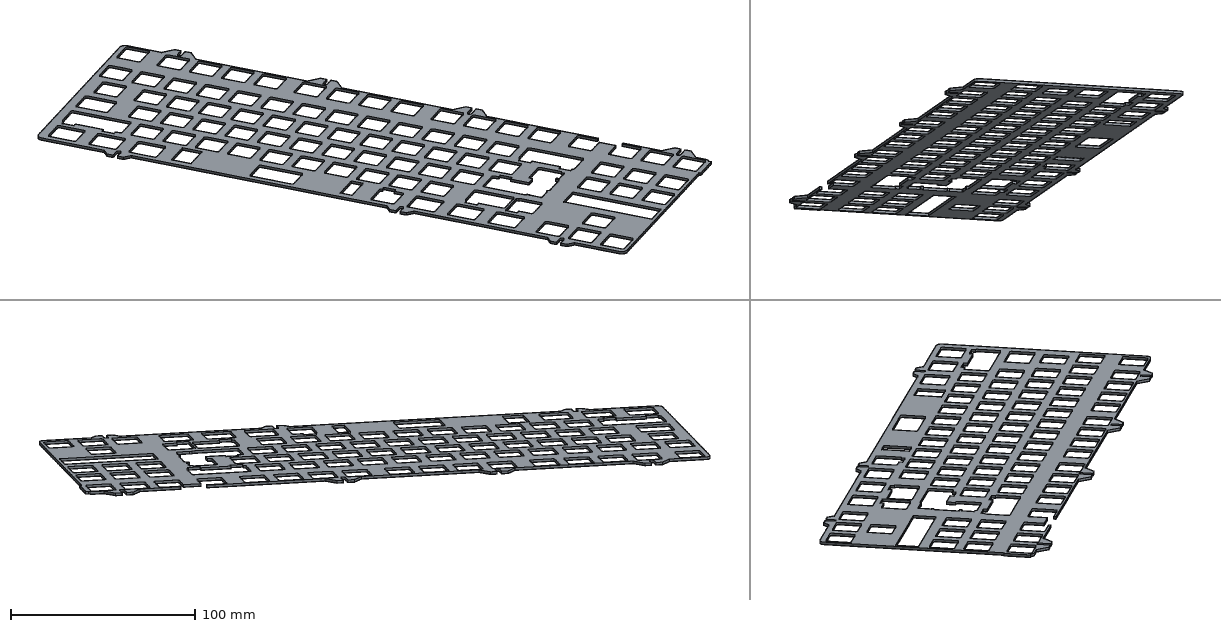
import cadquery as cq
import math

plate_length = 348.5
plate_width = 128.0
thickness = 1.5
bump_reach = 1.0
body_length = plate_length - bump_reach
top_tab_height = 6.0
bottom_tab_height = 3.5
corner_radius = 3.0

left_edge = -plate_length / 2
right_edge = left_edge + body_length
top_edge = plate_width / 2 - top_tab_height
bottom_edge = -plate_width / 2 + bottom_tab_height

key_unit = body_length / 18.25
grid_start = left_edge + 0.5
key_hole = 14.0
key_hole_radius = 1.0
bottom_row = -50.2
shift_row = bottom_row + key_unit
home_row = bottom_row + 2 * key_unit
tab_row = bottom_row + 3 * key_unit
number_row = bottom_row + 4 * key_unit
function_row = bottom_row + 5.25 * key_unit

side_columns = [15.75, 16.75, 17.75]
enter_column = 14.375
single_keys = [
    (function_row, [0.5, 1.75, 2.75, 3.75, 4.75, 6, 7, 8, 9]),
    (function_row, [10.25, 11.25, 12.25, 13.25, 14.5] + side_columns),
    (number_row, [0.5 + step for step in range(13)] + side_columns),
    (tab_row, [0.75] + [2 + step for step in range(12)] + [14.25] + side_columns),
    (home_row, [2.25 + step for step in range(11)]),
    (shift_row, [2.75 + step for step in range(10)] + [14.5, 16.75]),
    (bottom_row, [10.625] + side_columns),
]

stretched_keys = [
    (number_row, 13.5, 14.5),
    (home_row, 0.625, 0.875),
    (home_row, 13.25, 13.875),
    (shift_row, 0.625, 1.75),
    (shift_row, 13.125, 13.625),
    (bottom_row, 0.625, 0.75),
    (bottom_row, 1.875, 2),
    (bottom_row, 3.125, 3.25),
    (bottom_row, 6.875, 7.5),
    (bottom_row, 11.75, 11.875),
    (bottom_row, 13, 13.125),
    (bottom_row, 14.25, enter_column),
]

slot_width = 7.0
slot_overhang = 2.0
slot_inset = 0.7
short_reach = 12.0
space_reach = 50.0
long_space_reach = 57.2
stabilized_keys = [
    (number_row, 14, short_reach, -1),
    (home_row, 13.875, short_reach, 1),
    (shift_row, 1.125, short_reach, -1),
    (shift_row, 13.625, short_reach, -1),
    (bottom_row, 6.875, space_reach, 1),
    (bottom_row, 7.5, long_space_reach, 1),
]

badge_height = 12.5

cable_width = 14.5
cable_depth = 4.2
cable_column = 15.125

tab_slot_width = 2.5
top_tab_base = 20.2
top_tab_tip = 9.8
top_slot_depth = 7.3
shallow_slot_depth = 6.0
top_tabs = [
    (-141.0, shallow_slot_depth),
    (-54.7, shallow_slot_depth),
    (31.0, top_slot_depth),
    (154.5, top_slot_depth),
]
bottom_tab_base = 16.0
bottom_tab_tip = 9.8
bottom_slot_depth = 6.0
bottom_tabs = [-126.2, 40.8, 135.5]

bump_length = 14.5
bump_top_gap = 1.5


def key_x(column):
    """X of a place given in key units from the start of the grid."""
    return grid_start + column * key_unit


def block(x_min, x_max, y_min, y_max):
    """Full-thickness block between the given limits."""
    corner = (x_min, y_min, -thickness / 2)
    size = (x_max - x_min, y_max - y_min, thickness)
    return cq.Workplane("XY").box(*size, centered=False).translate(corner)


def key_cut(row, first, last):
    """Hole for one key, stretched from its first to its last centre."""
    half = key_hole / 2
    hole = block(key_x(first) - half, key_x(last) + half, row - half, row + half)
    return hole.edges("|Z").fillet(key_hole_radius)


def stabilizer_cuts(row, column, reach, side):
    """Pair of slots, shifted along Y against the key hole."""
    outer = row + side * (key_hole / 2 + slot_overhang)
    inner = row - side * (key_hole / 2 - slot_inset)
    half = slot_width / 2
    centres = [key_x(column) - reach, key_x(column) + reach]
    return [block(x - half, x + half, min(outer, inner), max(outer, inner)) for x in centres]


def tall_enter_cuts():
    """Hole midway between two rows, with slots above and below it that overhang to -X."""
    row = (home_row + tab_row) / 2
    x_min = key_x(enter_column) - key_hole / 2 - slot_overhang
    x_max = key_x(enter_column) + key_hole / 2 - slot_inset
    half = slot_width / 2
    centres = [row - short_reach, row + short_reach]
    slots = [block(x_min, x_max, y - half, y + half) for y in centres]
    passage = block(key_x(enter_column) - key_hole / 2, key_x(enter_column), row - short_reach, row)
    return [key_cut(row, enter_column, enter_column), passage] + slots


def badge_cut():
    """Wide window below the side columns."""
    x_min = key_x(side_columns[0]) - key_hole / 2
    x_max = key_x(side_columns[-1]) + key_hole / 2
    return block(x_min, x_max, home_row - badge_height / 2, home_row + badge_height / 2)


def cable_cut():
    """Opening in the top edge between two function keys."""
    x = key_x(cable_column)
    return block(x - cable_width / 2, x + cable_width / 2, top_edge - cable_depth, top_edge)


def tab(x, edge, tip_y, base, tip):
    """Tapered tab standing out from a long edge."""
    outline = [
        (x - base / 2, edge),
        (x - tip / 2, tip_y),
        (x + tip / 2, tip_y),
        (x + base / 2, edge),
    ]
    solid = cq.Workplane("XY").polyline(outline).close().extrude(thickness)
    return solid.translate((0, 0, -thickness / 2))


def tab_slot_cut(x, tip_y, end_y):
    """Slot from the tip of a tab to a round end."""
    half = tab_slot_width / 2
    round_y = end_y + math.copysign(half, tip_y)
    slot = block(x - half, x + half, min(tip_y, round_y), max(tip_y, round_y))
    end = cq.Workplane("XY").center(x, round_y).circle(half).extrude(thickness)
    return slot.union(end.translate((0, 0, -thickness / 2)))


body = block(left_edge, right_edge, bottom_edge, top_edge).edges("|Z").fillet(corner_radius)
bump_top = top_edge - bump_top_gap
bump = block(right_edge - bump_reach, plate_length / 2, bump_top - bump_length, bump_top)
body = body.union(bump)
for x, _ in top_tabs:
    body = body.union(tab(x, top_edge, plate_width / 2, top_tab_base, top_tab_tip))
for x in bottom_tabs:
    body = body.union(tab(x, bottom_edge, -plate_width / 2, bottom_tab_base, bottom_tab_tip))

cuts = [badge_cut(), cable_cut()] + tall_enter_cuts()
for row, columns in single_keys:
    cuts += [key_cut(row, column, column) for column in columns]
for key in stretched_keys:
    cuts.append(key_cut(*key))
for key in stabilized_keys:
    cuts += stabilizer_cuts(*key)
for x, depth in top_tabs:
    cuts.append(tab_slot_cut(x, plate_width / 2, plate_width / 2 - depth))
for x in bottom_tabs:
    cuts.append(tab_slot_cut(x, -plate_width / 2, -plate_width / 2 + bottom_slot_depth))

result = body
for cut in cuts:
    result = result.cut(cut)